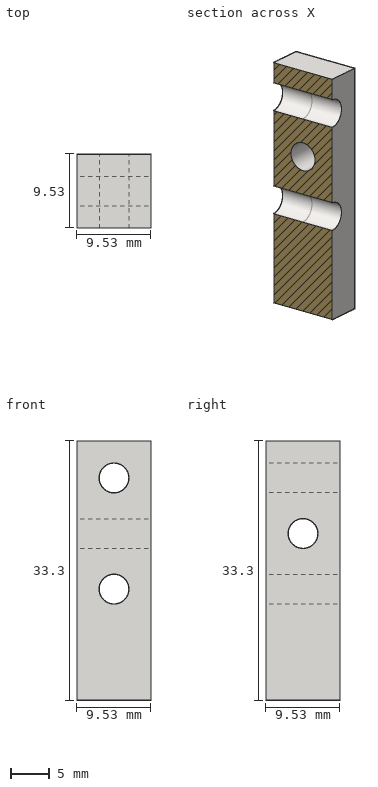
import cadquery as cq

side = 9.525
height = 33.3375

hole_diameter = 3.8
hole_spacing = 14.2875
upper_hole_z = height / 2 - side / 2
lower_hole_z = upper_hole_z - hole_spacing
side_hole_z = (upper_hole_z + lower_hole_z) / 2


def through_hole(axis, z):
    """Cylinder crossing the whole bar along X or Y, centred at height z."""
    plane = "YZ" if axis == "X" else "XZ"
    drill = cq.Workplane(plane).circle(hole_diameter / 2).extrude(side, both=True)
    return drill.translate((0, 0, z))


result = cq.Workplane("XY").box(side, side, height)
for hole_z in (upper_hole_z, lower_hole_z):
    result = result.cut(through_hole("Y", hole_z))
result = result.cut(through_hole("X", side_hole_z))